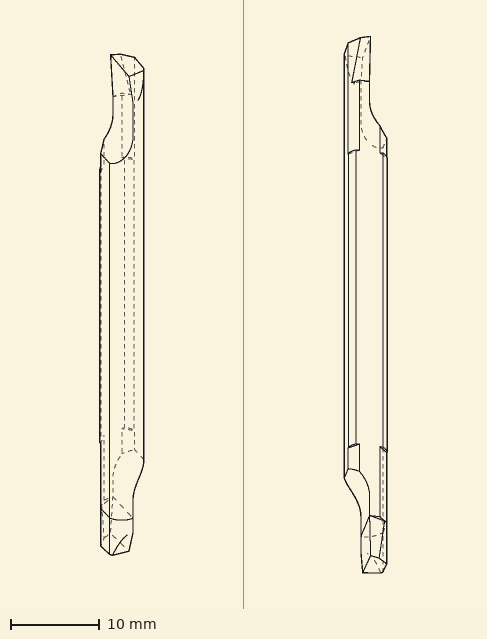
import cadquery as cq
import math

LENGTH = 70.0
HALF_LENGTH = LENGTH / 2

ROUND_RADIUS = 2.5
SIDE_FLAT = 2.25
LEFT_FLAT = 1.95
CHAMFER_EDGE = 1.2
CHAMFER_LENGTH = 15.2

RELIEF_FLAT = 8.4
RELIEF_RADIUS = 4.7

HEAD_LENGTH = 5.75
TIP_OVERHANG = 2.485
END_CORNER_X = 1.6
END_DROP = 0.3
BACK_ANGLE = 15.0
SIDE_CLEARANCE = 0.85
END_CLEARANCE = 0.15
BACK_CLEARANCE = 0.2


def section(length, left):
    """Round bar with Y flats and a -X flat, centred on the origin."""
    blank = cq.Workplane("XY").circle(ROUND_RADIUS).extrude(length / 2, both=True)
    flats = (
        cq.Workplane("XY")
        .box(left + ROUND_RADIUS, 2 * SIDE_FLAT, length)
        .translate(((ROUND_RADIUS - left) / 2, 0, 0))
    )
    return blank.intersect(flats)


def chamfer_cutter(length):
    """Pair of prisms that take the left corners off at 45 degrees."""
    offset = CHAMFER_EDGE + LEFT_FLAT
    outer = ROUND_RADIUS + SIDE_FLAT
    prism = (
        cq.Workplane("XY", origin=(0, 0, HALF_LENGTH - length))
        .polyline([(-offset, 0), (outer - offset, outer), (-offset, outer)])
        .close()
        .extrude(length)
    )
    return prism.union(prism.mirror("XZ"))


def relief_cutter():
    """Material removed on the -Y side of the top end, with a rounded run-out."""
    floor_end = HALF_LENGTH - RELIEF_FLAT
    sweep = math.acos(1 - SIDE_FLAT / RELIEF_RADIUS)
    middle = (
        -RELIEF_RADIUS * (1 - math.cos(sweep / 2)),
        floor_end - RELIEF_RADIUS * math.sin(sweep / 2),
    )
    run_out = (-SIDE_FLAT, floor_end - RELIEF_RADIUS * math.sin(sweep))
    return (
        cq.Workplane("YZ")
        .moveTo(0, HALF_LENGTH)
        .lineTo(0, floor_end)
        .threePointArc(middle, run_out)
        .lineTo(-SIDE_FLAT, HALF_LENGTH)
        .close()
        .extrude(ROUND_RADIUS, both=True)
    )


def head_outline(y, side_shift, end_shift, back_shift):
    """Four-sided outline of the top head at one Y level."""
    base = HALF_LENGTH - HEAD_LENGTH
    end = HALF_LENGTH - end_shift
    back_rise = HEAD_LENGTH - END_DROP - end_shift
    back_x = END_CORNER_X - back_shift
    side_lean = (TIP_OVERHANG - LEFT_FLAT) / HEAD_LENGTH
    points = [
        (-LEFT_FLAT + side_shift, y, base),
        (-TIP_OVERHANG + side_shift + end_shift * side_lean, y, end),
        (back_x, y, end - END_DROP),
        (back_x + back_rise * math.tan(math.radians(BACK_ANGLE)), y, base),
    ]
    return cq.Wire.makePolygon([cq.Vector(*p) for p in points], close=True)


def top_head():
    """Cutting head with clearance on every wall, trimmed to the bar round."""
    upper = head_outline(0, 0, 0, 0)
    lower = head_outline(SIDE_FLAT, SIDE_CLEARANCE, END_CLEARANCE, BACK_CLEARANCE)
    wedge = cq.Workplane(cq.Solid.makeLoft([upper, lower], True))
    chamfers = chamfer_cutter(HEAD_LENGTH)
    return wedge.intersect(section(LENGTH, ROUND_RADIUS)).cut(chamfers)


def half_turn(shape):
    """Carry a top-end feature to the bottom end."""
    return shape.rotate((0, 0, 0), (1, 0, 0), 180)


def shank():
    """Bar between the two heads, with chamfers and relief at both ends."""
    body = section(LENGTH - 2 * HEAD_LENGTH, LEFT_FLAT)
    chamfers = chamfer_cutter(CHAMFER_LENGTH)
    for cutter in (chamfers, relief_cutter()):
        body = body.cut(cutter).cut(half_turn(cutter))
    return body


bar = shank().union(top_head())
separate_tip = half_turn(top_head())

result = cq.Compound.makeCompound([bar.val(), separate_tip.val()])